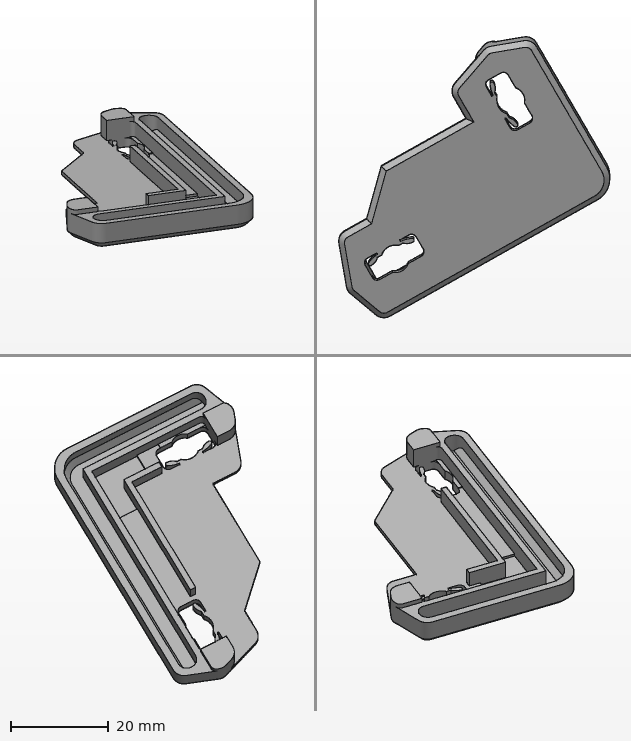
import cadquery as cq
import math


long_arm = 58.8
short_arm = 38.8
arm_width = 20.0
web_depth = 28.05
web_start = 40.0
end_angle = math.radians(20)
tip_depth = 8.95
edge_radius = 2.5
corner_radius = 5.0

floor_z = 2.0
rim_z = 5.4
pad_z = 6.4
bottom_chamfer = 1.2

rim_depth = 6.95
groove_outer = 1.6
groove_inner = 5.6
groove_end_gap = 3.6
groove_corner_radius = 4.5
groove_end_radius = 1.95
groove_floor_z = 1.4
groove_slope = 1.25

rail_outer = 11.75
rail_inner = 13.0
corner_floor_z = 1.45
corner_pocket_reach = 17.5

pad_length = 5.8
pad_outer_radius = 1.25
pad_wall_radius = 0.9

clip_length = 12.0
clip_outer = 7.9
clip_corner_radius = 1.1
clip_hole_diameter = 5.7
clip_hole_depth = 10.05
ledge_height = 0.9
strip_height = 0.2
strip_reach = 4.5

beyond = 2 * long_arm


def prism(points, bottom, top):
    return cq.Workplane("XY").workplane(offset=bottom).polyline(points).close().extrude(top - bottom)


def block(x_start, x_end, y_start, y_end, bottom, top):
    """Box between two distances from the outer corner along each arm."""
    return prism(
        [(-x_start, -y_start), (-x_end, -y_start), (-x_end, -y_end), (-x_start, -y_end)],
        bottom,
        top,
    )


def round_upright_edges(body, points, radius):
    """Round the upright edges that stand nearest to the given plan points."""
    height = body.val().BoundingBox().center.z
    for x, y in points:
        nearest = cq.selectors.NearestToPointSelector((x, y, height))
        body = body.edges("|Z").edges(nearest).fillet(radius)
    return body


def to_short_arm(body):
    """Reflect a long-arm feature across the diagonal of the corner."""
    return body.rotate((0, 0, 0), (0, 0, 1), 90).mirror("YZ")


tip_overshoot = edge_radius * (1 / math.cos(end_angle) - 1)


def arm_end(arm, depth):
    """Length of an arm at the given depth, along its sharp-tipped slanted end."""
    return arm + tip_overshoot - abs(depth - tip_depth) * math.tan(end_angle)


def outline_block(height):
    """Whole plan outline with rounded corners, from z = 0."""
    rounded = [
        (-arm_end(long_arm, 0), 0),
        (-arm_end(long_arm, tip_depth), -tip_depth),
        (-arm_end(long_arm, arm_width), -arm_width),
        (-arm_width, -arm_end(short_arm, arm_width)),
        (-tip_depth, -arm_end(short_arm, tip_depth)),
        (0, -arm_end(short_arm, 0)),
    ]
    web = [
        (-web_start - web_depth + arm_width, -arm_width),
        (-web_start, -web_depth),
        (-arm_width, -web_depth),
    ]
    body = prism([(0, 0)] + rounded[:3] + web + rounded[3:], 0, height)
    body = round_upright_edges(body, rounded, edge_radius)
    return round_upright_edges(body, [(0, 0)], corner_radius)


def make_groove():
    """L-shaped groove whose outer wall slopes in at 45 degrees above the floor."""
    long_end = long_arm - groove_end_gap
    short_end = short_arm - groove_end_gap
    ends = [
        (-long_end, -groove_outer),
        (-long_end, -groove_inner),
        (-groove_inner, -short_end),
        (-groove_outer, -short_end),
    ]
    channel = prism(
        [(-groove_outer, -groove_outer)] + ends[:2] + [(-groove_inner, -groove_inner)] + ends[2:],
        groove_floor_z,
        rim_z,
    )
    channel = round_upright_edges(channel, ends, groove_end_radius)
    sloped = block(groove_outer, beyond, groove_outer, beyond, groove_floor_z, rim_z)
    sloped = sloped.edges("|Z and >X and >Y").fillet(groove_corner_radius)
    sloped = sloped.faces("<Z").edges().chamfer(groove_slope)
    return channel.intersect(sloped)


def make_rail():
    long_leg = block(rail_outer, web_start, rail_outer, rail_inner, floor_z, rim_z)
    short_leg = block(rail_outer, rail_inner, rail_outer, arm_width, floor_z, rim_z)
    return long_leg.union(short_leg)


def make_corner_pocket():
    long_leg = block(rim_depth, corner_pocket_reach, rim_depth, rail_outer, corner_floor_z, floor_z)
    return long_leg.union(to_short_arm(long_leg))




def make_pad(arm):
    """Pad flush with the slanted arm end, rounded at its two outer corners."""
    root = arm - pad_length
    rim_corner = (-arm_end(arm, rim_depth), -rim_depth)
    tip = (-arm_end(arm, tip_depth), -tip_depth)
    free_corner = (-arm_end(arm, rail_inner), -rail_inner)
    plan = [(-root, -rim_depth), rim_corner, tip, free_corner, (-root, -rail_inner)]
    below_rim = prism(plan, floor_z, rim_z)
    below_rim = round_upright_edges(below_rim, [tip, free_corner], edge_radius)
    above_rim = prism(plan, rim_z, pad_z)
    above_rim = round_upright_edges(above_rim, [tip, free_corner], edge_radius)
    above_rim = round_upright_edges(above_rim, [rim_corner], pad_outer_radius)
    return below_rim.union(above_rim)


def make_pad_fillet(arm):
    """Concave fillet between the pad and the rim wall."""
    root = arm - pad_length
    corner = block(
        root - pad_wall_radius, root, rim_depth, rim_depth + pad_wall_radius, floor_z, rim_z
    )
    hollow = (
        cq.Workplane("XY")
        .workplane(offset=floor_z)
        .center(-(root - pad_wall_radius), -(rim_depth + pad_wall_radius))
        .circle(pad_wall_radius)
        .extrude(rim_z - floor_z)
    )
    return corner.cut(hollow)


def make_strip(arm):
    """Low strip along the rim wall behind the clip opening."""
    root = arm - pad_length
    end = root - clip_length / 2 - strip_reach
    return block(end, root, rim_depth, clip_outer, floor_z, floor_z + strip_height)


def make_hook():
    """Ledge with a springy hook, from the middle of the clip outward along +X."""
    slit_end = (2.7, 0)
    slit_top = (2.7, 0.3)
    underside_middle = (4.05, 0.5)
    tip_bottom = (5.1, 0.95)
    tip_end = (5.35, 1.35)
    tip_top = (4.8, 1.7)
    upper_middle = (3.8, 1.45)
    root = (3.0, ledge_height)
    return (
        cq.Workplane("XY")
        .lineTo(*slit_end)
        .lineTo(*slit_top)
        .threePointArc(underside_middle, tip_bottom)
        .threePointArc(tip_end, tip_top)
        .threePointArc(upper_middle, root)
        .lineTo(0, ledge_height)
        .close()
        .extrude(pad_z)
    )


def make_clip_opening(arm):
    """Through opening with a round middle and two hooks on its free side."""
    root = arm - pad_length
    middle = root - clip_length / 2
    window = block(root - clip_length, root, clip_outer, rail_inner, 0, pad_z)
    window = window.edges("|Z").fillet(clip_corner_radius)
    hook = make_hook()
    hooks = hook.union(hook.mirror("YZ")).translate((-middle, -rail_inner, 0))
    hole = (
        cq.Workplane("XY")
        .center(-middle, -clip_hole_depth)
        .circle(clip_hole_diameter / 2)
        .extrude(pad_z)
    )
    return window.cut(hooks).union(hole)


def on_both_arms(make_feature):
    """The long-arm feature and its reflected twin for the short arm."""
    return [make_feature(long_arm), to_short_arm(make_feature(short_arm))]


body = outline_block(rim_z).faces("<Z").edges().chamfer(bottom_chamfer)
body = body.cut(block(rim_depth, beyond, rim_depth, beyond, floor_z, rim_z))
body = body.cut(make_groove())
body = body.cut(make_corner_pocket())
body = body.union(make_rail())

for make_feature in (make_pad, make_pad_fillet, make_strip):
    for feature in on_both_arms(make_feature):
        body = body.union(feature)

for opening in on_both_arms(make_clip_opening):
    body = body.cut(opening)

result = body